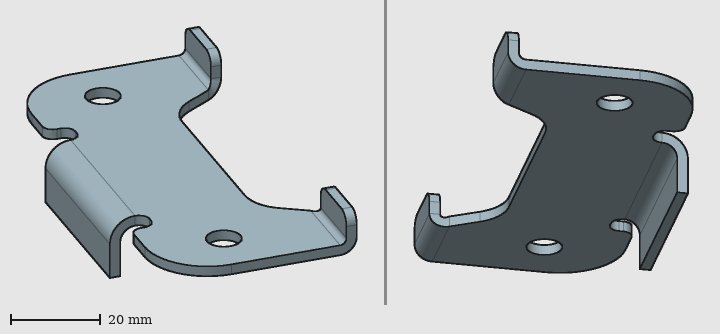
import cadquery as cq
import math

length = 100.0
thickness = 2.5
plate_front = -45.0
corner_radius = 15.0

tab_width = 16.0
tab_height = 7.5
tab_corner_radius = 3.0
tab_bend_inner = 1.5
tab_bend_outer = tab_bend_inner + thickness
bend_taper = 2.3
trim_margin = 0.5

cutout_depth = 15.0
flank_angle = 58.5
cutout_radius = 10.0

lip_width = 40.0
lip_drop = 14.5
lip_bend_inner = 3.5
lip_bend_outer = lip_bend_inner + thickness
lip_face = plate_front - thickness
lip_bend_start = lip_face + lip_bend_outer

relief_width = 6.0
relief_depth = 6.0
relief_radius = 2.5
relief_mouth_radius = 2.5

hole_diameter = 8.0
hole_inset = 12.5
hole_from_front = 18.0

half_length = length / 2
half_lip = lip_width / 2
tab_inner_x = half_length - tab_width
tab_bend_y = -tab_bend_outer
flank_start_x = tab_inner_x - bend_taper
flank_run = (cutout_depth - tab_bend_outer) / math.tan(math.radians(flank_angle))
cutout_corner_x = flank_start_x - flank_run


def make_plate():
    """Flat web with its cut-out, rounded corners, reliefs and holes."""
    relief_outer_x = half_lip + relief_width
    right_side = [
        (cutout_corner_x, -cutout_depth),
        (flank_start_x, tab_bend_y),
        (half_length, tab_bend_y),
        (half_length, plate_front),
        (relief_outer_x, plate_front),
        (relief_outer_x, lip_bend_start),
        (half_lip, lip_bend_start),
    ]
    left_side = [(-x, y) for x, y in reversed(right_side)]
    plate = (
        cq.Workplane("XY").polyline(right_side + left_side).close().extrude(-thickness)
    )

    def round_corners(body, x, y, radius):
        for side in (-1, 1):
            point = (side * x, y, -thickness / 2)
            selector = cq.selectors.NearestToPointSelector(point)
            body = body.edges("|Z").edges(selector).fillet(radius)
        return body

    plate = round_corners(plate, cutout_corner_x, -cutout_depth, cutout_radius)
    plate = round_corners(plate, half_length, plate_front, corner_radius)
    plate = round_corners(plate, relief_outer_x, plate_front, relief_mouth_radius)

    relief_center = half_lip + relief_width / 2
    reliefs = (
        cq.Workplane("XY")
        .pushPoints([(-relief_center, plate_front), (relief_center, plate_front)])
        .rect(relief_width, 2 * relief_depth)
        .extrude(-thickness)
        .edges("|Z")
        .fillet(relief_radius)
    )

    hole_x = half_length - hole_inset
    hole_y = plate_front + hole_from_front
    holes = (
        cq.Workplane("XY")
        .pushPoints([(-hole_x, hole_y), (hole_x, hole_y)])
        .circle(hole_diameter / 2)
        .extrude(-thickness)
    )
    return plate.cut(reliefs).cut(holes)


def bend_section(start_x, axis_y, axis_z, inner, outer, y_sign, z_sign):
    """Quarter ring in a YZ plane, opening toward the given signs."""
    diagonal = math.sqrt(0.5)

    def point(radius, y_part, z_part):
        return (axis_y + y_sign * radius * y_part, axis_z + z_sign * radius * z_part)

    return (
        cq.Workplane("YZ", origin=(start_x, 0, 0))
        .moveTo(*point(inner, 1, 0))
        .lineTo(*point(outer, 1, 0))
        .threePointArc(point(outer, diagonal, diagonal), point(outer, 0, 1))
        .lineTo(*point(inner, 0, 1))
        .threePointArc(point(inner, diagonal, diagonal), point(inner, 1, 0))
        .close()
    )


def bend_taper_edge(radius):
    """Curve around the tab bend that moves inward as a straight slant in plan."""

    def point(t):
        angle = t * math.pi / 2
        return (
            tab_inner_x - bend_taper * (1 - math.sin(angle)),
            tab_bend_y + radius * math.sin(angle),
            tab_bend_inner - radius * math.cos(angle),
        )

    return cq.Workplane("XY").parametricCurve(point, makeWire=False).val()


def make_right_tab():
    """Upright tab and its bend, whose inner end tapers along a twisted face."""
    wall = (
        cq.Workplane("XY")
        .box(tab_width, thickness, tab_height - tab_bend_inner, centered=False)
        .translate((tab_inner_x, -thickness, tab_bend_inner))
        .edges("|Y and >Z")
        .fillet(tab_corner_radius)
    )
    bend = bend_section(
        flank_start_x, tab_bend_y, tab_bend_inner, tab_bend_inner, tab_bend_outer, 1, -1
    ).extrude(tab_width + bend_taper)

    inner_edge = bend_taper_edge(tab_bend_inner - trim_margin)
    outer_edge = bend_taper_edge(tab_bend_outer + trim_margin)
    end_face = cq.Face.makeRuledSurface(inner_edge, outer_edge)
    bend = bend.split(cq.Workplane(obj=end_face)).solids(">X")
    return wall.union(bend)


def make_lip():
    """Front lip turned down through a rounded bend."""
    bend = bend_section(
        -half_lip, lip_bend_start, -lip_bend_outer, lip_bend_inner, lip_bend_outer, -1, 1
    ).extrude(lip_width)
    wall = (
        cq.Workplane("XY")
        .box(lip_width, thickness, lip_drop - lip_bend_outer, centered=False)
        .translate((-half_lip, lip_face, -lip_drop))
    )
    return bend.union(wall)


right_tab = make_right_tab()
left_tab = right_tab.mirror("YZ")
result = make_plate().union(right_tab).union(left_tab).union(make_lip())